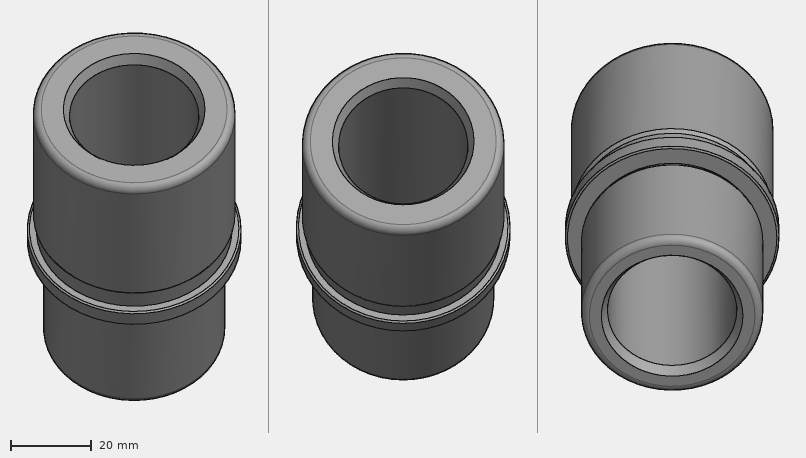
import cadquery as cq

length = 90.0
lower_body_top = 35.0
collar_bottom = 37.0
collar_top = 41.8
neck_top = 47.0

collar_diameter = 53.0
upper_diameter = 50.0
neck_diameter = 48.6
lower_diameter = 45.0
relief_diameter = 43.4
bore_diameter = 32.0

end_radius = 2.0
collar_chamfer_width = 0.5
collar_chamfer_height = 0.3
bore_chamfer_width = 1.5
bore_chamfer_height = 2.6
relief_arc_radius = 3.0
neck_taper_height = 1.1

collar_radius = collar_diameter / 2
upper_radius = upper_diameter / 2
neck_radius = neck_diameter / 2
lower_radius = lower_diameter / 2
relief_radius = relief_diameter / 2
bore_radius = bore_diameter / 2
collar_rim_radius = collar_radius - collar_chamfer_width


def make_body():
    """Revolve the outer half-profile about the Z axis."""
    profile = (
        cq.Workplane("XZ")
        .lineTo(lower_radius - end_radius, 0)
        .radiusArc((lower_radius, end_radius), -end_radius)
        .lineTo(lower_radius, lower_body_top)
        .radiusArc((relief_radius, collar_bottom), relief_arc_radius)
        .lineTo(collar_rim_radius, collar_bottom)
        .lineTo(collar_radius, collar_bottom + collar_chamfer_height)
        .lineTo(collar_radius, collar_top - collar_chamfer_height)
        .lineTo(collar_rim_radius, collar_top)
        .lineTo(neck_radius, collar_top)
        .lineTo(neck_radius, neck_top)
        .lineTo(upper_radius, neck_top + neck_taper_height)
        .lineTo(upper_radius, length - end_radius)
        .radiusArc((upper_radius - end_radius, length), -end_radius)
        .lineTo(0, length)
        .close()
    )
    return profile.revolve(360, (0, 0, 0), (0, 1, 0))


def make_bore():
    """Through bore with a chamfer at each end."""
    mouth_radius = bore_radius + bore_chamfer_width
    profile = (
        cq.Workplane("XZ")
        .lineTo(mouth_radius, 0)
        .lineTo(bore_radius, bore_chamfer_height)
        .lineTo(bore_radius, length - bore_chamfer_height)
        .lineTo(mouth_radius, length)
        .lineTo(0, length)
        .close()
    )
    return profile.revolve(360, (0, 0, 0), (0, 1, 0))


result = make_body().cut(make_bore())